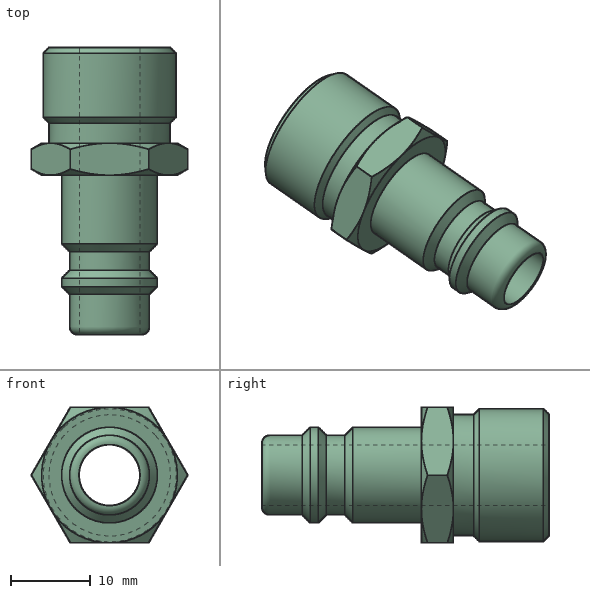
import cadquery as cq
import math

COLLAR_START = 5.05
COLLAR_RIM_START = 6.05
COLLAR_RIM_END = 7.1
COLLAR_END = 8.1
SHANK_TAPER_START = 10.4
SHANK_START = 11.4
HEX_START = 20.0
HEX_END = 24.0
THREAD_TAPER_START = 26.53
LENGTH = 36.0

BORE_DIAMETER = 7.6
PLUG_DIAMETER = 10.0
SHANK_DIAMETER = 12.0
THREAD_DIAMETER = 16.662
NECK_DIAMETER = 15.2
THREAD_CHAMFER = (THREAD_DIAMETER - NECK_DIAMETER) / 2
HEX_SIDES = 6
HEX_FLATS = 17.0
HEX_CORNERS = HEX_FLATS / math.cos(math.pi / HEX_SIDES)

TIP_ROUND = 1.0
HEX_CHAMFER_ANGLE = math.radians(30)

bore_radius = BORE_DIAMETER / 2
plug_radius = PLUG_DIAMETER / 2
shank_radius = SHANK_DIAMETER / 2
neck_radius = NECK_DIAMETER / 2
thread_radius = THREAD_DIAMETER / 2


def revolve_about_y(profile):
    """Turn a closed XY profile (X is the radius) into a solid about the Y axis."""
    return profile.close().revolve(360, (0, 0, 0), (0, 1, 0))


def make_turned_body():
    """Stepped plug, shank, neck and thread, with a rounded tip."""
    round_offset = TIP_ROUND * math.sqrt(0.5)
    round_middle = (
        plug_radius - TIP_ROUND + round_offset,
        TIP_ROUND - round_offset,
    )
    profile = (
        cq.Workplane("XY")
        .lineTo(plug_radius - TIP_ROUND, 0)
        .threePointArc(round_middle, (plug_radius, TIP_ROUND))
        .lineTo(plug_radius, COLLAR_START)
        .lineTo(shank_radius, COLLAR_RIM_START)
        .lineTo(shank_radius, COLLAR_RIM_END)
        .lineTo(plug_radius, COLLAR_END)
        .lineTo(plug_radius, SHANK_TAPER_START)
        .lineTo(shank_radius, SHANK_START)
        .lineTo(shank_radius, HEX_START)
        .lineTo(neck_radius, HEX_START)
        .lineTo(neck_radius, THREAD_TAPER_START)
        .lineTo(thread_radius, THREAD_TAPER_START + THREAD_CHAMFER)
        .lineTo(thread_radius, LENGTH - THREAD_CHAMFER)
        .lineTo(thread_radius - THREAD_CHAMFER, LENGTH)
        .lineTo(0, LENGTH)
    )
    return revolve_about_y(profile)


def make_hexagon():
    """Hexagon with corners on the X axis and both end faces chamfered conically."""
    prism = (
        cq.Workplane("XZ", origin=(0, HEX_START, 0))
        .polygon(HEX_SIDES, HEX_CORNERS)
        .extrude(HEX_START - HEX_END)
    )
    face_radius = HEX_FLATS / 2
    corner_radius = HEX_CORNERS / 2
    chamfer_depth = (corner_radius - face_radius) * math.tan(HEX_CHAMFER_ANGLE)
    envelope = (
        cq.Workplane("XY")
        .moveTo(0, HEX_START)
        .lineTo(face_radius, HEX_START)
        .lineTo(corner_radius, HEX_START + chamfer_depth)
        .lineTo(corner_radius, HEX_END - chamfer_depth)
        .lineTo(face_radius, HEX_END)
        .lineTo(0, HEX_END)
    )
    return prism.intersect(revolve_about_y(envelope))


def make_bore():
    """Plain passage through the full length."""
    return cq.Workplane("XZ").circle(bore_radius).extrude(-LENGTH)


result = make_turned_body().union(make_hexagon()).cut(make_bore())